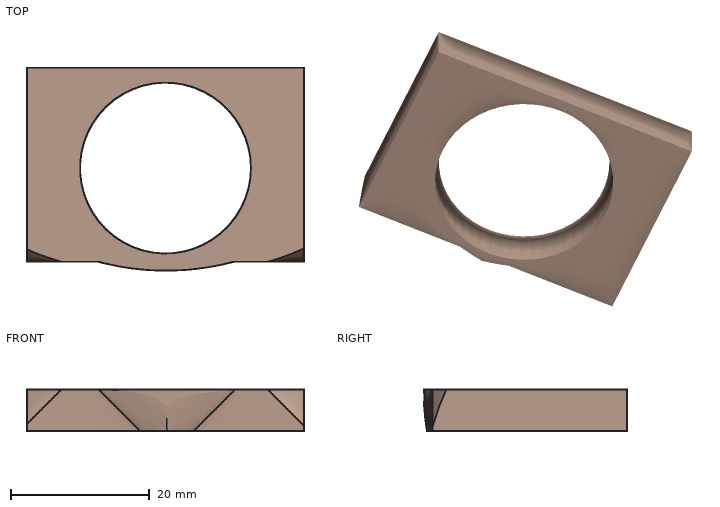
import cadquery as cq
import math

length = 40.0
depth = 28.0
thickness = 6.0

bore_center_y = 13.5
lip_diameter = 24.6
bore_diameter = 25.7
lip_height = 0.3

edge_radius = 36.4
peak_height = 1.35
half_width = math.sqrt(edge_radius**2 - (edge_radius - peak_height) ** 2)

bulge_center_x = 0.2
cap_center_x = 0.1
cap_radius = 38.0
cap_height = 1.3

left_corner_start = 15.0
right_corner_start = 14.7


def leaning_cylinder(top_x, direction):
    """Disc extruded down from the top face, moving sideways as far as it drops."""
    center = cq.Vector(top_x, edge_radius - peak_height, thickness)
    rim = cq.Wire.makeCircle(edge_radius, center, cq.Vector(0, 0, 1))
    drop = cq.Vector(direction * thickness, 0, -thickness)
    return cq.Workplane(obj=cq.Solid.extrudeLinear(rim, [], drop))


def make_plate():
    """Rectangular plate with both front corners trimmed by leaning cylinders."""
    plate = cq.Workplane().box(length, depth, thickness, centered=(True, False, False))
    for side, start in ((-1, left_corner_start), (1, right_corner_start)):
        outer_half = (
            cq.Workplane()
            .center(side * length / 4, 0)
            .box(length / 2, depth / 4, thickness, centered=(True, False, False))
        )
        trimmer = leaning_cylinder(side * (start - half_width), side)
        plate = plate.cut(outer_half.cut(trimmer))
    return plate


def make_bulge():
    """Bulge narrowing downward, where two leaning cylinders and the cap overlap."""
    bulge = (
        cq.Workplane()
        .center(cap_center_x, cap_radius - cap_height)
        .circle(cap_radius)
        .extrude(thickness)
    )
    for direction in (-1, 1):
        bulge = bulge.intersect(leaning_cylinder(bulge_center_x, direction))
    root_depth = (depth - bore_diameter) / 4
    front_strip = (
        cq.Workplane()
        .center(bulge_center_x, root_depth)
        .rect(2 * half_width, 2 * (peak_height + root_depth))
        .extrude(thickness)
    )
    return bulge.intersect(front_strip)


def make_opening():
    """Stepped cutter for the round opening."""
    bore = cq.Workplane().circle(bore_diameter / 2).extrude(thickness - lip_height)
    lip = cq.Workplane().circle(lip_diameter / 2).extrude(thickness)
    return bore.union(lip).translate((0, bore_center_y, 0))


result = make_plate().union(make_bulge()).cut(make_opening())